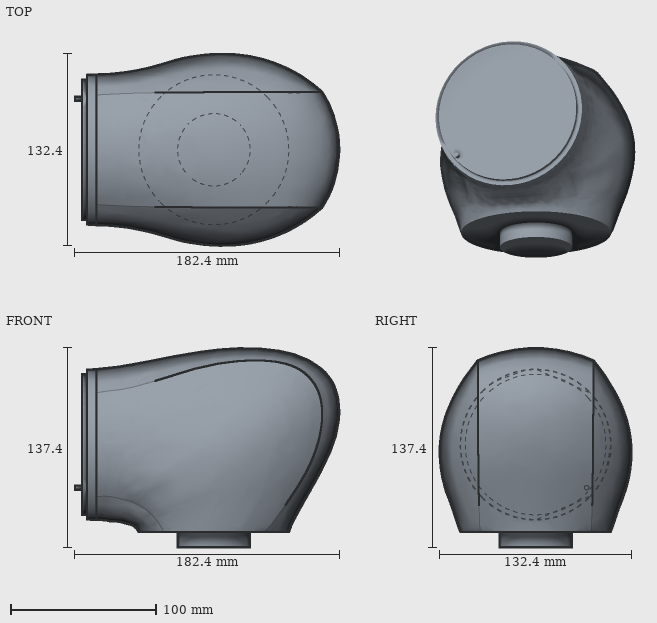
import cadquery as cq
import math


BODY_FRONT_X = -81.0
FLANGE_AXIS_Z = 60.4
LIP_LENGTH = 0.5
LIP_DIAMETER = 104.0
RING_LENGTH = 6.0
RING_FRONT_DIAMETER = 103.4
DISC_LENGTH = 3.5
DISC_DIAMETER = 97.0

PIN_DIAMETER = 3.0
PIN_LENGTH = 4.85
PIN_Y = 35.2
PIN_Z = 30.7

SPIGOT_DIAMETER = 50.0
SPIGOT_LENGTH = 10.45

BODY_SECTIONS = [
    (90.0, 8.4, 24.7, 60.4, 96.1, 112.4, 37.8, 52.0, 37.8),
    (82.0, 8.4, 25.1, 61.0, 98.8, 115.5, 37.9, 52.3, 38.5),
    (72.0, 8.7, 26.0, 63.0, 107.3, 124.3, 38.0, 53.4, 39.2),
    (60.0, 9.2, 27.5, 69.5, 129.0, 143.7, 38.1, 56.1, 39.6),
    (45.0, 10.9, 30.7, 84.0, 167.0, 177.1, 38.2, 62.1, 39.8),
    (39.0, 12.0, 32.6, 90.5, 179.0, 188.4, 38.2, 64.8, 39.8),
    (33.5, 13.6, 34.4, 96.0, 181.6, 192.8, 38.3, 65.95, 39.8),
    (22.0, 18.6, 38.4, 91.0, 164.8, 178.3, 38.4, 63.4, 39.6),
    (16.0, 22.2, 40.6, 87.5, 150.5, 162.5, 38.5, 60.2, 39.4),
    (11.0, 25.4, 42.4, 84.5, 138.1, 150.1, 38.5, 57.2, 39.2),
    (5.5, 27.8, 44.5, 82.5, 126.3, 139.4, 38.5, 54.5, 38.8),
    (0.0, 29.3, 46.3, 81.0, 115.7, 132.7, 38.4, 51.7, 38.4),
]
OUTER_BULGE = 0.1


def cylinder_along_x(diameter, start_x, length, y=0.0, z=0.0):
    return (
        cq.Workplane("YZ", origin=(start_x, y, z))
        .circle(diameter / 2)
        .extrude(length)
    )


def side_midpoint(widest, seam, half_width, seam_half_width):
    """Middle of the arc that leaves the widest point parallel to the centreline and ends at a seam."""
    reach = seam - widest
    drop = half_width - seam_half_width
    radius = (reach**2 + drop**2) / (2 * drop)
    half_sweep = math.atan2(drop, abs(reach))
    return (
        widest + math.copysign(radius * math.sin(half_sweep), reach),
        half_width - radius * (1 - math.cos(half_sweep)),
    )


def section_wire(angle, inner, inner_seam, widest, outer_seam, outer, inner_half, half_width, outer_half):
    """Closed section: an arc over each crown and a smooth curve down each side."""
    cosine = math.cos(math.radians(angle))
    sine = math.sin(math.radians(angle))

    def place(distance, y):
        return cq.Vector(BODY_FRONT_X + distance * cosine, y, distance * sine)

    outer_middle, outer_middle_half = side_midpoint(widest, outer_seam, half_width, outer_half)
    bulge = OUTER_BULGE * max(0, half_width - LIP_DIAMETER / 2)
    side = [
        (outer_seam, outer_half),
        (outer_middle, outer_middle_half + bulge),
        (widest, half_width),
        side_midpoint(widest, inner_seam, half_width, inner_half),
        (inner_seam, inner_half),
    ]
    left = [place(distance, y) for distance, y in side]
    right = [place(distance, -y) for distance, y in reversed(side)]
    return cq.Wire.assembleEdges([
        cq.Edge.makeThreePointArc(right[-1], place(outer, 0), left[0]),
        cq.Edge.makeSpline(left),
        cq.Edge.makeThreePointArc(left[-1], place(inner, 0), right[0]),
        cq.Edge.makeSpline(right),
    ])


def make_body():
    wires = [section_wire(*section) for section in BODY_SECTIONS]
    return cq.Workplane(obj=cq.Solid.makeLoft(wires))


def make_flange():
    lip_x = BODY_FRONT_X - LIP_LENGTH
    ring_x = lip_x - RING_LENGTH
    disc_x = ring_x - DISC_LENGTH
    lip = cylinder_along_x(LIP_DIAMETER, lip_x, LIP_LENGTH, z=FLANGE_AXIS_Z)
    ring = (
        cq.Workplane("YZ", origin=(ring_x, 0, FLANGE_AXIS_Z))
        .circle(RING_FRONT_DIAMETER / 2)
        .workplane(offset=RING_LENGTH)
        .circle(LIP_DIAMETER / 2)
        .loft()
    )
    disc = cylinder_along_x(DISC_DIAMETER, disc_x, DISC_LENGTH, z=FLANGE_AXIS_Z)
    pin = cylinder_along_x(PIN_DIAMETER, disc_x - PIN_LENGTH, PIN_LENGTH, PIN_Y, PIN_Z)
    return lip.union(ring).union(disc).union(pin)


def make_spigot():
    return cq.Workplane("XY").circle(SPIGOT_DIAMETER / 2).extrude(-SPIGOT_LENGTH)


result = make_body().union(make_flange()).union(make_spigot())